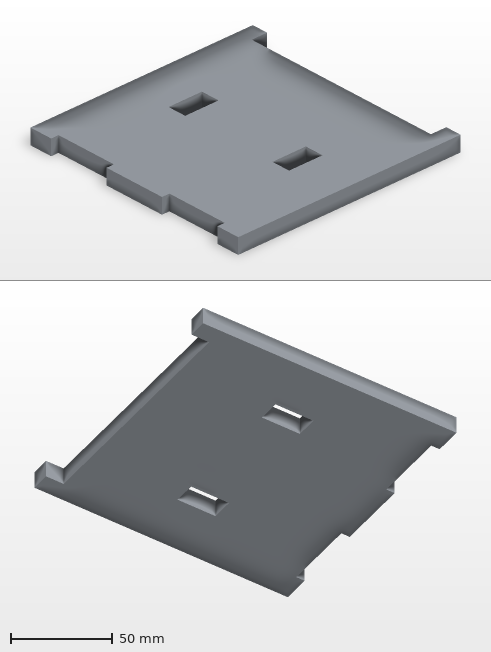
import cadquery as cq

side = 150.0
thickness = 10.0

leg_width = 10.4
rear_recess_depth = 10.4

corner_width = 15.0
notch_width = (side - 2 * corner_width) / 3
notch_depth = 5.0

window_width = 12.0
window_length = 22.5
window_spacing = side / 2


def cutter(width, length, x, y):
    """Full-thickness block centred at (x, y)."""
    return (
        cq.Workplane("XY")
        .box(width, length, thickness, centered=(True, True, False))
        .translate((x, y, 0))
    )


result = cq.Workplane("XY").box(side, side, thickness, centered=(True, True, False))

recess_y = (side - rear_recess_depth) / 2
result = result.cut(cutter(side - 2 * leg_width, rear_recess_depth, 0, recess_y))

notch_y = (notch_depth - side) / 2
for direction in (-1, 1):
    result = result.cut(cutter(notch_width, notch_depth, direction * notch_width, notch_y))
    result = result.cut(cutter(window_width, window_length, direction * window_spacing / 2, 0))